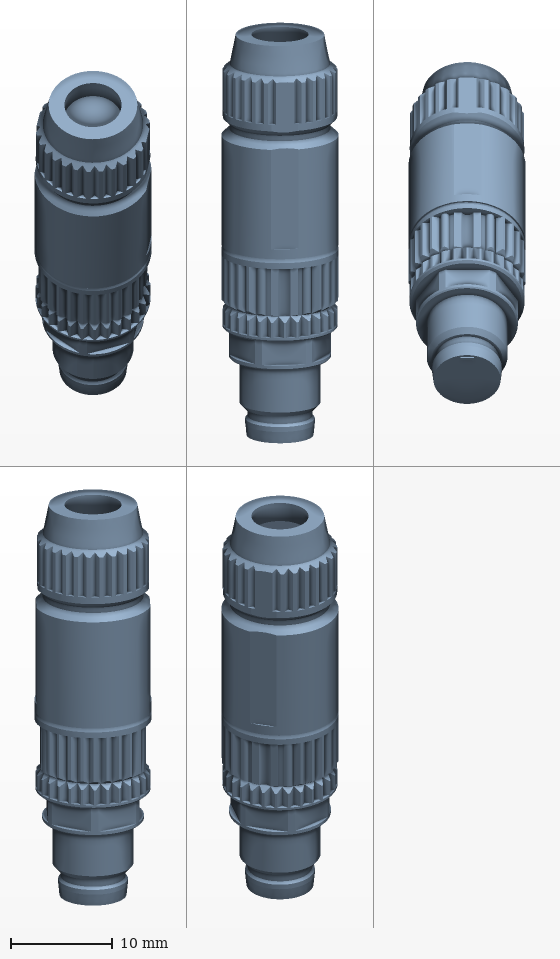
import cadquery as cq
import math

INDEX_ANGLE = 16.4
OPPOSITE = INDEX_ANGLE + 180.0
TOOTH_COUNT = 28
TOOTH_PITCH = 360.0 / TOOTH_COUNT
OUTSIDE = 8.0

KEY_HEIGHT = 0.12
NOSE_TAPER_TOP = 1.3
NOSE_RIM_TOP = 1.8
NECK_BOTTOM = 2.05
BARREL_BOTTOM = 2.9
BARREL_CHAMFER_TOP = 3.43
HEX_COLLAR_BOTTOM = 8.0
HEX_COLLAR_CHAMFER = 0.12
HEX_FLAT_BOTTOM = 8.45
COUPLING_BOTTOM = 11.0
COUPLING_CHAMFER_TOP = 11.2
COUPLING_TEETH_BOTTOM = 11.45
COUPLING_CHAMFER_BOTTOM = 13.0
COUPLING_TOP = 13.5
RING_CHAMFER_TOP = 13.95
RING_TEETH_TOP = 18.5
RING_BEVEL_BOTTOM = 19.1
RING_TOP = 19.5
SLEEVE_FLAT_BOTTOM = 20.5
SLEEVE_SHOULDER = 30.6
SLEEVE_NECK_BOTTOM = 31.3
SLEEVE_TOP = 31.85
CAP_RIM_BOTTOM = 32.45
CAP_TEETH_BOTTOM = 33.15
CAP_TEETH_TOP = 37.3
CAP_CONE_BOTTOM = 37.88
TOP = 40.8

NOSE_END_RADIUS = 3.3
NOSE_RADIUS = 3.42
NECK_RADIUS = 3.18
BARREL_END_RADIUS = 3.5
BARREL_RADIUS = 3.98
HEX_COLLAR_RADIUS = 5.0
COUPLING_RADIUS = 5.65
COUPLING_END_RADIUS = 5.4
COUPLING_ROOT_RADIUS = 5.1
SLEEVE_RADIUS = 5.75
RING_BEVEL_RADIUS = 5.6
RING_ROOT_RADIUS = 5.23
SLEEVE_NECK_RADIUS = 4.97
CAP_RADIUS = 5.62
CAP_ROOT_RADIUS = 5.17
CAP_CONE_RADIUS = 4.93
CAP_TOP_RADIUS = 4.35

HEX_SIDES = 6
HEX_APOTHEM = 4.5
BARREL_FLAT_DISTANCE = 3.895
SLEEVE_FLAT_DISTANCE = 5.587
CAP_FLAT_DISTANCE = 5.47

CABLE_HOLE_RADIUS = 2.8
CABLE_HOLE_DEPTH = 2.0

PANEL_TEETH = 5
PANEL_HALF_ANGLE = PANEL_TEETH * TOOTH_PITCH / 2
PANEL_ROOT_RADIUS = 5.05
PAD_DISTANCE = 5.15
PAD_WIDTH = 2.62
SCOOP_RADIUS = 0.65
SCOOP_CENTRE_DISTANCE = 5.45
RIB_RADIUS = 0.45
RIB_CENTRE_DISTANCE = 5.05
RIB_ANGLE = 2 * TOOTH_PITCH

KEY_CENTRE_DISTANCE = 2.87
KEY_THICKNESS = 0.3
KEY_WIDTH = 1.3


def turned(profile):
    """Solid of revolution about Z from (radius, height) points; both ends close on the axis."""
    bottom = profile[0][1]
    top = profile[-1][1]
    outline = [(0, bottom)] + profile + [(0, top)]
    return cq.Workplane("XZ").polyline(outline).close().revolve(360, (0, 0), (0, 1))


def about_axis(shape, angle):
    return shape.rotate((0, 0, 0), (0, 0, 1), angle)


def prism(outline, bottom, top):
    return cq.Workplane("XY").workplane(offset=bottom).polyline(outline).close().extrude(top - bottom)


def slab(inner, outer, width, bottom, top):
    """Block pointing along +X, between two distances from the axis."""
    half = width / 2
    return prism([(inner, -half), (outer, -half), (outer, half), (inner, half)], bottom, top)


def cut_flat(body, distance, angle, bottom, top):
    cutter = slab(distance, OUTSIDE, 2 * OUTSIDE, bottom, top)
    return body.cut(about_axis(cutter, angle))


def cut_grooves(body, root_radius, angles, bottom, top):
    """Cut 90-degree V grooves, leaving teeth between them."""
    reach = OUTSIDE - root_radius
    groove = prism([(root_radius, 0), (OUTSIDE, -reach), (OUTSIDE, reach)], bottom, top)
    for angle in angles:
        body = body.cut(about_axis(groove, angle))
    return body


def make_cap():
    cap = turned([
        (SLEEVE_NECK_RADIUS, SLEEVE_TOP),
        (CAP_RADIUS, CAP_RIM_BOTTOM),
        (CAP_RADIUS, CAP_TEETH_TOP),
        (CAP_CONE_RADIUS, CAP_CONE_BOTTOM),
        (CAP_TOP_RADIUS, TOP),
    ])
    half_count = TOOTH_COUNT // 2
    angles = [INDEX_ANGLE + i * TOOTH_PITCH for i in range(TOOTH_COUNT) if i % half_count != 0]
    cap = cut_grooves(cap, CAP_ROOT_RADIUS, angles, CAP_TEETH_BOTTOM, CAP_CONE_BOTTOM)
    for angle in (INDEX_ANGLE, OPPOSITE):
        cap = cut_flat(cap, CAP_FLAT_DISTANCE, angle, SLEEVE_TOP, CAP_CONE_BOTTOM)
    hole_floor = TOP - CABLE_HOLE_DEPTH
    cable_hole = cq.Workplane("XY").workplane(offset=hole_floor).circle(CABLE_HOLE_RADIUS)
    return cap.cut(cable_hole.extrude(CABLE_HOLE_DEPTH))


def make_sleeve():
    sleeve = turned([
        (SLEEVE_RADIUS, RING_TOP),
        (SLEEVE_RADIUS, SLEEVE_SHOULDER),
        (SLEEVE_NECK_RADIUS, SLEEVE_NECK_BOTTOM),
        (SLEEVE_NECK_RADIUS, SLEEVE_TOP),
    ])
    for angle in (INDEX_ANGLE, OPPOSITE):
        sleeve = cut_flat(sleeve, SLEEVE_FLAT_DISTANCE, angle, SLEEVE_FLAT_BOTTOM, SLEEVE_TOP)
    return sleeve


def make_panel_cutter():
    """Space cleared around the pad and ribs of a grip panel that points along +X."""
    edge = math.radians(PANEL_HALF_ANGLE)
    half_span = OUTSIDE * math.tan(edge)
    sector = prism([(0, 0), (OUTSIDE, -half_span), (OUTSIDE, half_span)], COUPLING_TOP, RING_TEETH_TOP)
    height = RING_TEETH_TOP - COUPLING_TOP
    base = cq.Workplane("XY").workplane(offset=COUPLING_TOP)
    root = base.circle(PANEL_ROOT_RADIUS).extrude(height)
    scoop = base.center(SCOOP_CENTRE_DISTANCE, 0).circle(SCOOP_RADIUS).extrude(height)
    pad = slab(0, PAD_DISTANCE, PAD_WIDTH, COUPLING_TOP, RING_TEETH_TOP).cut(scoop)
    cutter = sector.cut(root).cut(pad)
    for angle in (-RIB_ANGLE, RIB_ANGLE):
        rib = base.center(RIB_CENTRE_DISTANCE, 0).circle(RIB_RADIUS).extrude(height)
        cutter = cutter.cut(about_axis(rib, angle))
    return cutter.union(scoop)


def make_knurled_ring():
    ring = turned([
        (COUPLING_ROOT_RADIUS, COUPLING_TOP),
        (SLEEVE_RADIUS, RING_CHAMFER_TOP),
        (SLEEVE_RADIUS, RING_BEVEL_BOTTOM),
        (RING_BEVEL_RADIUS, RING_TOP),
    ])
    grooves_per_side = TOOTH_COUNT // 2 - PANEL_TEETH + 1
    angles = []
    for centre in (INDEX_ANGLE, OPPOSITE):
        first = centre + PANEL_HALF_ANGLE
        angles += [first + i * TOOTH_PITCH for i in range(grooves_per_side)]
    ring = cut_grooves(ring, RING_ROOT_RADIUS, angles, COUPLING_TOP, RING_TEETH_TOP)
    panel_cutter = make_panel_cutter()
    for angle in (INDEX_ANGLE, OPPOSITE):
        ring = ring.cut(about_axis(panel_cutter, angle))
    return ring


def make_coupling():
    coupling = turned([
        (NOSE_END_RADIUS, KEY_HEIGHT),
        (NOSE_RADIUS, NOSE_TAPER_TOP),
        (NOSE_RADIUS, NOSE_RIM_TOP),
        (NECK_RADIUS, NECK_BOTTOM),
        (NECK_RADIUS, BARREL_BOTTOM),
        (BARREL_END_RADIUS, BARREL_BOTTOM),
        (BARREL_RADIUS, BARREL_CHAMFER_TOP),
        (BARREL_RADIUS, HEX_COLLAR_BOTTOM),
        (HEX_COLLAR_RADIUS - HEX_COLLAR_CHAMFER, HEX_COLLAR_BOTTOM),
        (HEX_COLLAR_RADIUS, HEX_COLLAR_BOTTOM + HEX_COLLAR_CHAMFER),
        (HEX_COLLAR_RADIUS, COUPLING_BOTTOM),
        (COUPLING_END_RADIUS, COUPLING_BOTTOM),
        (COUPLING_RADIUS, COUPLING_CHAMFER_TOP),
        (COUPLING_RADIUS, COUPLING_CHAMFER_BOTTOM),
        (COUPLING_ROOT_RADIUS, COUPLING_TOP),
    ])
    angles = [INDEX_ANGLE + (i + 0.5) * TOOTH_PITCH for i in range(TOOTH_COUNT)]
    coupling = cut_grooves(coupling, COUPLING_ROOT_RADIUS, angles, COUPLING_TEETH_BOTTOM, COUPLING_TOP)
    for i in range(HEX_SIDES):
        angle = INDEX_ANGLE + i * 360.0 / HEX_SIDES
        coupling = cut_flat(coupling, HEX_APOTHEM, angle, HEX_FLAT_BOTTOM, COUPLING_BOTTOM)
    coupling = cut_flat(
        coupling, BARREL_FLAT_DISTANCE, INDEX_ANGLE - 90, BARREL_BOTTOM, HEX_COLLAR_BOTTOM
    )
    key_inner = KEY_CENTRE_DISTANCE - KEY_THICKNESS / 2
    key = slab(key_inner, key_inner + KEY_THICKNESS, KEY_WIDTH, 0, KEY_HEIGHT)
    return coupling.union(about_axis(key, INDEX_ANGLE))


cap = make_cap()
sleeve = make_sleeve()
knurled_ring = make_knurled_ring()
coupling = make_coupling()

result = cq.Compound.makeCompound([cap.val(), sleeve.val(), knurled_ring.val(), coupling.val()])